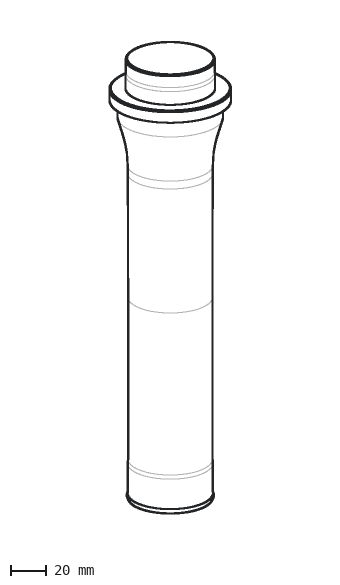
import cadquery as cq
import math

height = 265.0

head_top_diameter = 49.8
head_diameter = 50.0
flange_diameter = 68.0
shoulder_diameter = 59.0
tube_diameter = 47.7
waist_diameter = 47.2
ring_outer_diameter = 48.8
ring_section_diameter = 3.7

head_taper_top = 257.3
head_taper_bottom = 255.0
flange_top = 247.0
flange_thickness = 7.2
shoulder_bottom = 229.5
flare_bottom = 200.5
tube_top_band_bottom = 195.8
waist_top = 121.0
waist_bottom = 23.5
foot_top = 21.2
foot_bottom = 1.9

edge_chamfer = 0.8
flare_angle = math.radians(14)

head_top_radius = head_top_diameter / 2
head_radius = head_diameter / 2
flange_radius = flange_diameter / 2
shoulder_radius = shoulder_diameter / 2
tube_radius = tube_diameter / 2
waist_radius = waist_diameter / 2
ring_section_radius = ring_section_diameter / 2
ring_center_radius = ring_outer_diameter / 2 - ring_section_radius
flange_bottom = flange_top - flange_thickness


def make_stem():
    """Flanged stem: foot, slim waist, flared shoulder, flange and head."""
    profile = (
        cq.Workplane("XZ")
        .moveTo(0, foot_bottom)
        .lineTo(tube_radius, foot_bottom)
        .lineTo(tube_radius, foot_top)
        .lineTo(waist_radius, waist_bottom)
        .lineTo(waist_radius, waist_top)
        .tangentArcPoint((tube_radius, tube_top_band_bottom), relative=False)
        .lineTo(tube_radius, flare_bottom)
        .spline(
            [(shoulder_radius, shoulder_bottom)],
            tangents=[(0, 1), (math.sin(flare_angle), math.cos(flare_angle))],
            includeCurrent=True,
        )
        .lineTo(shoulder_radius, flange_bottom)
        .lineTo(flange_radius, flange_bottom)
        .lineTo(flange_radius, flange_top - edge_chamfer)
        .lineTo(flange_radius - edge_chamfer, flange_top)
        .lineTo(head_radius, flange_top)
        .lineTo(head_radius, head_taper_bottom)
        .lineTo(head_top_radius, head_taper_top)
        .lineTo(head_top_radius, height - edge_chamfer)
        .lineTo(head_top_radius - edge_chamfer, height)
        .lineTo(0, height)
        .close()
    )
    return profile.revolve(360, (0, 0, 0), (0, 1, 0))


def make_seal_ring():
    """Round-section seal ring resting on Z = 0, seated in the end of the foot."""
    section = cq.Workplane("XZ").center(ring_center_radius, ring_section_radius).circle(ring_section_radius)
    return section.revolve(360, (-ring_center_radius, 0, 0), (-ring_center_radius, 1, 0))


seal_ring = make_seal_ring()

stem = make_stem().cut(seal_ring)

result = cq.Compound.makeCompound([stem.solids().val(), seal_ring.val()])